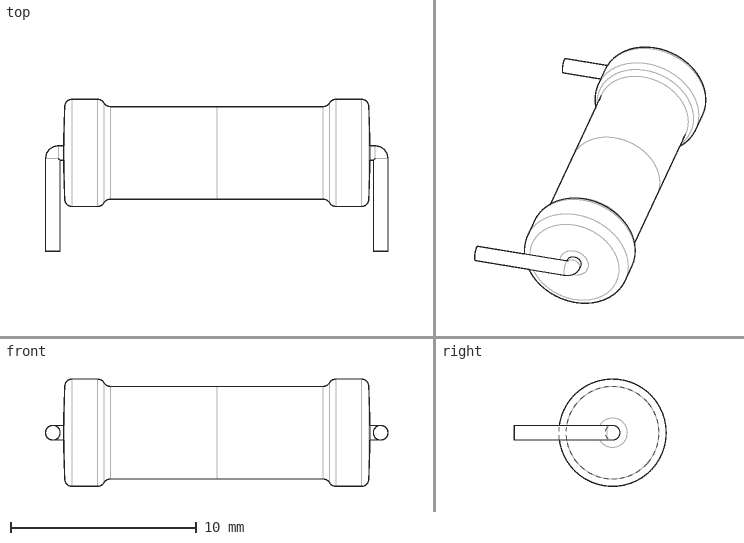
import cadquery as cq
import math

overall_length = 18.46
leg_tip_y = -5.3

shaft_radius = 5.0 / 2
cap_radius = 5.8 / 2
body_half_length = 8.25
end_flat_radius = 0.8
rim_x = 8.2
rim_round = 0.4
cap_straight_start = 6.42
shoulder_round = 0.4

wire_radius = 0.8 / 2
bend_radius = 0.3


def add_arc(profile, center, radius, start_deg, end_deg):
    """Add a circular arc to the profile, starting at its current point."""
    def point_at(degrees):
        angle = math.radians(degrees)
        return (center[0] + radius * math.cos(angle), center[1] + radius * math.sin(angle))

    return profile.threePointArc(point_at((start_deg + end_deg) / 2), point_at(end_deg))


def make_body():
    """Revolve one half of the body about X and mirror it across X = 0."""
    step_height = cap_radius - shaft_radius
    shoulder_angle = math.degrees(math.acos(1 - step_height / (2 * shoulder_round)))
    shoulder_length = 2 * shoulder_round * math.sin(math.radians(shoulder_angle))
    shaft_end_x = cap_straight_start - shoulder_length

    profile = cq.Workplane("XY").moveTo(0, 0).lineTo(0, shaft_radius).lineTo(shaft_end_x, shaft_radius)
    profile = add_arc(profile, (shaft_end_x, shaft_radius + shoulder_round), shoulder_round,
                      -90, -90 + shoulder_angle)
    profile = add_arc(profile, (cap_straight_start, cap_radius - shoulder_round), shoulder_round,
                      90 + shoulder_angle, 90)
    profile = profile.lineTo(rim_x - rim_round, cap_radius)
    profile = add_arc(profile, (rim_x - rim_round, cap_radius - rim_round), rim_round, 90, 0)
    profile = profile.lineTo(body_half_length, end_flat_radius).lineTo(body_half_length, 0).close()

    half = profile.revolve(360, (0, 0, 0), (1, 0, 0))
    return half.union(half.mirror("YZ")).solids()


def make_lead(side):
    """Build one bent lead on the +X (side = 1) or -X (side = -1) end."""
    leg_x = overall_length / 2 - wire_radius
    bend_x = leg_x - bend_radius
    bend_y = -bend_radius

    stub = cq.Workplane("YZ", origin=(body_half_length, 0, 0)).circle(wire_radius)
    stub = stub.extrude(bend_x - body_half_length)
    leg = cq.Workplane("XZ", origin=(leg_x, bend_y, 0)).circle(wire_radius).extrude(bend_y - leg_tip_y)

    half_chord = math.sqrt(wire_radius**2 - bend_radius**2)
    section = cq.Workplane("YZ", origin=(bend_x, 0, 0)).moveTo(bend_y, -half_chord)
    section = section.threePointArc((wire_radius, 0), (bend_y, half_chord)).close()
    bend = section.revolve(90, (bend_y, 0, 0), (bend_y, -1, 0))

    lead = stub.union(leg).union(bend).solids()
    return lead if side > 0 else lead.mirror("YZ")


body = make_body()
leads = [make_lead(side) for side in (-1, 1)]

result = cq.Compound.makeCompound([body.val(), *[lead.val() for lead in leads]])